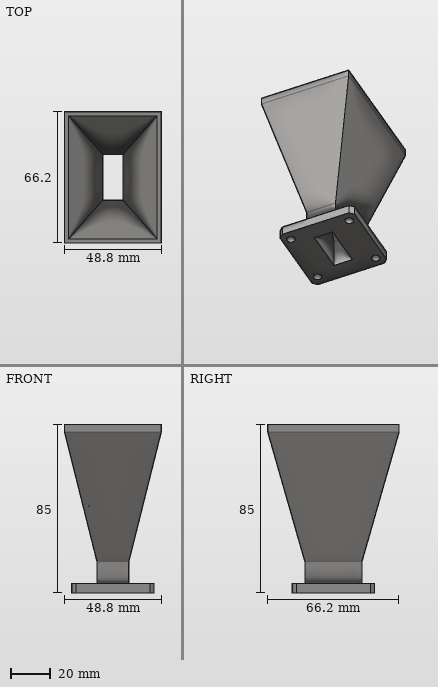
import cadquery as cq

bore_x = 10.16
bore_y = 22.86
tube_wall = 3.0
tube_x = bore_x + 2 * tube_wall
tube_y = bore_y + 2 * tube_wall

mouth_outer_x = 48.76
mouth_outer_y = 66.19
mouth_wall = 2.1
mouth_inner_x = mouth_outer_x - 2 * mouth_wall
mouth_inner_y = mouth_outer_y - 2 * mouth_wall

flange_side = 41.6
flange_chamfer = 2.2
hole_diameter = 4.3
hole_spacing_x = 32.5
hole_spacing_y = 31.0

total_height = 85.0
flange_thickness = 5.0
tube_length = 11.0
rim_height = 3.9
flare_start = flange_thickness + tube_length
rim_start = total_height - rim_height


def block(size_x, size_y, z_bottom, z_top):
    """Centred rectangular block between two heights."""
    return cq.Workplane("XY", origin=(0, 0, z_bottom)).rect(size_x, size_y).extrude(z_top - z_bottom)


def pyramid_frustum(bottom_x, bottom_y, top_x, top_y, z_bottom, z_top):
    """Centred rectangular frustum between two heights."""
    return (
        cq.Workplane("XY", origin=(0, 0, z_bottom))
        .rect(bottom_x, bottom_y)
        .workplane(offset=z_top - z_bottom)
        .rect(top_x, top_y)
        .loft(ruled=True)
    )


def make_flange():
    """Flange plate with bevelled corners and four through bolt holes."""
    plate = block(flange_side, flange_side, 0, flange_thickness).edges("|Z").chamfer(flange_chamfer)
    return (
        plate.faces(">Z")
        .workplane()
        .rect(hole_spacing_x, hole_spacing_y, forConstruction=True)
        .vertices()
        .hole(hole_diameter)
    )


def make_outer_horn():
    """Solid tube, flare and straight rim."""
    tube = block(tube_x, tube_y, flange_thickness, flare_start)
    flare = pyramid_frustum(tube_x, tube_y, mouth_outer_x, mouth_outer_y, flare_start, rim_start)
    rim = block(mouth_outer_x, mouth_outer_y, rim_start, total_height)
    return tube.union(flare).union(rim)


def make_cavity():
    """Straight bore through flange and tube, then one taper up to the mouth."""
    bore = block(bore_x, bore_y, 0, flare_start)
    taper = pyramid_frustum(bore_x, bore_y, mouth_inner_x, mouth_inner_y, flare_start, total_height)
    return bore.union(taper)


result = make_flange().union(make_outer_horn()).cut(make_cavity())